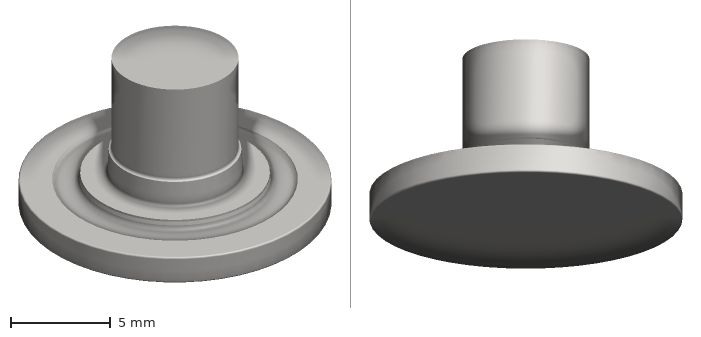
import cadquery as cq
import math

outer_radius = 7.85
total_height = 8.51

ring_height = 1.48
ring_edge_round = 0.1
bore_radius = 6.15

trough_fillet = 0.25
trough_depth = 0.15
trough_floor = ring_height - trough_depth

flange_base_radius = 4.8
flange_top_radius = 4.75
flange_top = 1.87
flange_band_height = 0.11
flange_root_fillet = trough_fillet

neck_base_radius = 3.4
neck_top_radius = 3.33
neck_top = 3.23
neck_root_fillet = 0.17

pin_radius = 3.19
shoulder_height = 0.17

arc_middle = 1 - math.sqrt(0.5)


def make_ring():
    """Outer ring with a through bore and rounded outer edges."""
    ring = cq.Workplane("XY").circle(outer_radius).extrude(ring_height)
    ring = ring.edges().fillet(ring_edge_round)
    bore = cq.Workplane("XY").circle(bore_radius).extrude(ring_height)
    return ring.cut(bore).solids()


def make_post():
    """Base that fills the bore, with flange, neck and pin, as one revolved profile."""
    trough_arc_width = math.sqrt(trough_fillet**2 - (trough_fillet - trough_depth) ** 2)
    flange_root_top = trough_floor + flange_root_fillet
    neck_root_top = flange_top + neck_root_fillet
    shoulder_width = neck_top_radius - pin_radius
    return (
        cq.Workplane("XZ")
        .lineTo(bore_radius, 0)
        .lineTo(bore_radius, ring_height)
        .radiusArc((bore_radius - trough_arc_width, trough_floor), trough_fillet)
        .lineTo(flange_base_radius + flange_root_fillet, trough_floor)
        .threePointArc(
            (flange_base_radius + arc_middle * flange_root_fillet,
             trough_floor + arc_middle * flange_root_fillet),
            (flange_base_radius, flange_root_top),
        )
        .lineTo(flange_top_radius, flange_top - flange_band_height)
        .lineTo(flange_top_radius, flange_top)
        .lineTo(neck_base_radius + neck_root_fillet, flange_top)
        .threePointArc(
            (neck_base_radius + arc_middle * neck_root_fillet,
             flange_top + arc_middle * neck_root_fillet),
            (neck_base_radius, neck_root_top),
        )
        .lineTo(neck_top_radius, neck_top)
        .threePointArc(
            (pin_radius + arc_middle * shoulder_width, neck_top + arc_middle * shoulder_height),
            (pin_radius, neck_top + shoulder_height),
        )
        .lineTo(pin_radius, total_height)
        .lineTo(0, total_height)
        .close()
        .revolve(360, (0, 0, 0), (0, 1, 0))
    )


ring = make_ring()
post = make_post()

result = cq.Compound.makeCompound([ring.val(), post.val()])